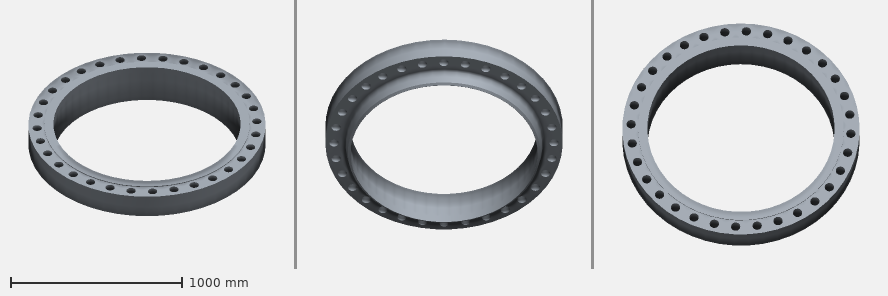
import cadquery as cq
import math

flange_diameter = 1384.3
overall_height = 239.71
face_height = 4.76
face_diameter = 1200.0
flange_thickness = 142.64

bore_diameter = 1092.2
neck_end_diameter = 1122.0
neck_base_diameter = 1158.0
root_fillet_radius = 14.0
weld_land = 1.6
bevel_angle = 37.5

bolt_count = 32
bolt_circle_diameter = 1282.7
bolt_hole_diameter = 54.0

face_level = overall_height
flange_top = face_level - face_height
flange_bottom = flange_top - flange_thickness

bore_radius = bore_diameter / 2
neck_end_radius = neck_end_diameter / 2
land_radius = bore_radius + weld_land
bevel_height = (neck_end_radius - land_radius) * math.tan(math.radians(bevel_angle))


def make_body():
    """Revolve the half section of ring, raised face and tapered neck about Z."""
    section = (
        cq.Workplane("XZ")
        .moveTo(bore_radius, 0)
        .lineTo(land_radius, 0)
        .lineTo(neck_end_radius, bevel_height)
        .lineTo(neck_base_diameter / 2, flange_bottom)
        .lineTo(flange_diameter / 2, flange_bottom)
        .lineTo(flange_diameter / 2, flange_top)
        .lineTo(face_diameter / 2, flange_top)
        .lineTo(face_diameter / 2, face_level)
        .lineTo(bore_radius, face_level)
        .close()
    )
    return section.revolve(360, (0, 0, 0), (0, 1, 0))


def round_neck_root(body):
    """Fillet the inside corner where the neck meets the flange underside."""
    ring_radius = (neck_base_diameter + flange_diameter) / 4
    underside_point = (-ring_radius, 0, flange_bottom)
    underside = body.faces(cq.selectors.NearestToPointSelector(underside_point))
    root_edge = underside.edges(cq.selectors.RadiusNthSelector(0))
    return root_edge.fillet(root_fillet_radius)


def make_bolt_holes():
    """Through-hole cylinders on the bolt circle, one of them on the +X axis."""
    return (
        cq.Workplane("XY")
        .workplane(offset=flange_bottom)
        .polarArray(bolt_circle_diameter / 2, 0, 360, bolt_count, rotate=False)
        .circle(bolt_hole_diameter / 2)
        .extrude(flange_thickness)
    )


result = round_neck_root(make_body()).cut(make_bolt_holes())